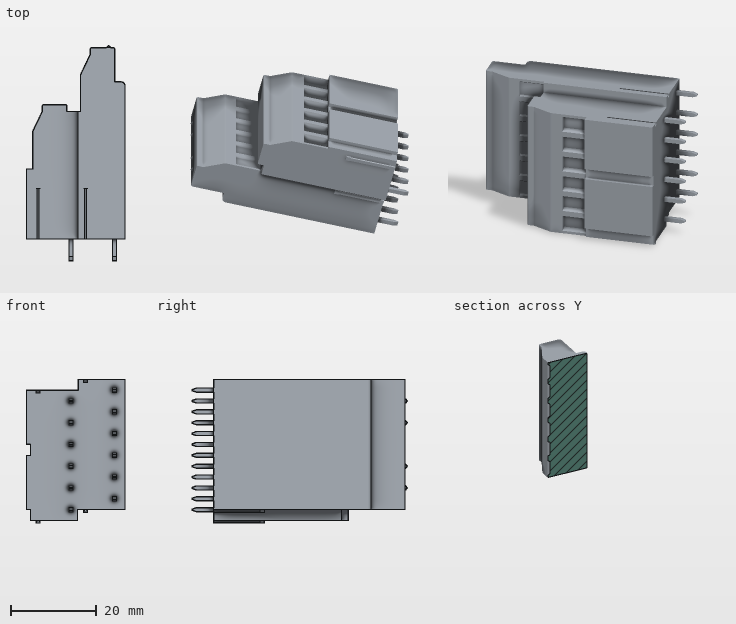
import cadquery as cq

PITCH = 5.08
POLES = 6
ROW_LENGTH = POLES * PITCH
REAR_BOTTOM_Z = PITCH / 2

FRONT_WALL_X = 1.45
PLINTH_HEIGHT = 16.45
SHELF_HEIGHT = 29.9
FRONT_TOP_Y = 31.45
TIER_STEP_X = 12.1
FRONT_BACK_X = 12.0

REAR_WALL_X = 12.65
REAR_TOP_Y = 44.75
REAR_BACK_X = 23.1
SHOULDER_Y = 36.8
SHOULDER_FILLET = 1.0

HEAD_WIDTH = 8.05
HEAD_SLOPE_WIDTH = 2.25
HEAD_SLOPE_HEIGHT = 4.7
HEAD_LIP_HEIGHT = 1.6
HEAD_CORNER_FILLET = 0.4
HEAD_SLOPE_FILLET = 0.75

NOTCH_DEPTH = 0.95
NOTCH_HEIGHT = PITCH / 2
NOTCH_BOTTOMS_Z = (0, 3 * PITCH)

ENTRY_HEIGHT = 3.8
FRONT_ENTRY_LENGTH = 5.8
FRONT_ENTRY_DEPTH = 1.3
FRONT_ENTRY_TAPER = 0.5
REAR_ENTRY_LENGTH = 5.95
REAR_ENTRY_DEPTH = 0.45
REAR_ENTRY_TAPER = 0.3

FRONT_PIN_X = 10.46
PIN_ROW_SPACING = 2 * PITCH
PIN_SIZE = 1.0
PIN_LENGTH = 5.05
PIN_TAPER_LENGTH = 1.0
PIN_TIP_THICKNESS = 0.3

FRONT_RIB_X = 2.75
REAR_RIB_X = 13.85
RIB_LENGTH = 11.85
RIB_STOP_LENGTH = 1.05
RIB_HEIGHT = 0.6
RIB_NECK_WIDTH = 0.3
RIB_WIDTH = 0.95
RIB_TIP_WIDTH = 0.75
RIB_WIDEST_DEPTH = 0.35
GROOVE_MOUTH_WIDTH = 0.45
GROOVE_WIDTH = 1.0
GROOVE_DEPTH = 0.7
GROOVE_LIP_DEPTH = 0.3

STUD_X = 19.25
STUD_RADIUS = 0.6
STUD_HEIGHT = 0.5
STUD_POLE_BOUNDARIES = (1, 2, 4, 5)


def tier(wall_x, top_y, lower_outline, bottom_z):
    """Extrude the head outline closed by the given lower points, listed from head back to head front."""
    lip_x = wall_x + HEAD_SLOPE_WIDTH
    back_x = wall_x + HEAD_WIDTH
    slope_top_y = top_y - HEAD_LIP_HEIGHT
    slope_bottom_y = slope_top_y - HEAD_SLOPE_HEIGHT
    head = [(wall_x, slope_bottom_y), (lip_x, slope_top_y), (lip_x, top_y), (back_x, top_y)]
    body = cq.Workplane("XY").workplane(offset=bottom_z).polyline(head + lower_outline).close()
    body = body.extrude(ROW_LENGTH)
    body = round_edge(body, wall_x, slope_bottom_y, HEAD_SLOPE_FILLET)
    body = round_edge(body, lip_x, top_y, HEAD_CORNER_FILLET)
    return round_edge(body, back_x, top_y, HEAD_CORNER_FILLET)


def round_edge(body, x, y, radius):
    """Fillet the edge along Z that passes through (x, y)."""
    middle_z = body.val().BoundingBox().center.z
    return body.edges(cq.selectors.NearestToPointSelector((x, y, middle_z))).fillet(radius)


def front_tier():
    lower_outline = [
        (FRONT_WALL_X + HEAD_WIDTH, SHELF_HEIGHT),
        (REAR_WALL_X, SHELF_HEIGHT),
        (REAR_WALL_X, 0),
        (0, 0),
        (0, PLINTH_HEIGHT),
        (FRONT_WALL_X, PLINTH_HEIGHT),
    ]
    body = tier(FRONT_WALL_X, FRONT_TOP_Y, lower_outline, 0)
    body = body.cut(box(FRONT_BACK_X, REAR_WALL_X, 0, SHELF_HEIGHT, 0, REAR_BOTTOM_Z))
    for bottom_z in NOTCH_BOTTOMS_Z:
        body = body.cut(box(0, NOTCH_DEPTH, 0, PLINTH_HEIGHT, bottom_z, bottom_z + NOTCH_HEIGHT))
    return body


def rear_tier():
    lower_outline = [
        (REAR_WALL_X + HEAD_WIDTH, SHOULDER_Y),
        (REAR_BACK_X, SHOULDER_Y),
        (REAR_BACK_X, 0),
        (TIER_STEP_X, 0),
        (TIER_STEP_X, SHELF_HEIGHT),
        (REAR_WALL_X, SHELF_HEIGHT),
    ]
    body = tier(REAR_WALL_X, REAR_TOP_Y, lower_outline, REAR_BOTTOM_Z)
    return round_edge(body, REAR_BACK_X, SHOULDER_Y, SHOULDER_FILLET)


def box(x0, x1, y0, y1, z0, z1):
    return cq.Workplane("XY").box(x1 - x0, y1 - y0, z1 - z0, centered=False).translate((x0, y0, z0))


def prism_along_y(points, start_y, length):
    """Extrude an outline of (x, z) points toward +Y."""
    return cq.Workplane("XZ", origin=(0, start_y, 0)).polyline(points).close().extrude(-length)


def pole_centres(bottom_z):
    return [bottom_z + (pole + 0.5) * PITCH for pole in range(POLES)]


def wire_entries(wall_x, start_y, length, depth, taper, bottom_z):
    """Pockets whose floor and ceiling close in toward the back."""
    mouth = ENTRY_HEIGHT / 2
    back = mouth - taper
    back_x = wall_x + depth
    entries = cq.Workplane("XY")
    for z in pole_centres(bottom_z):
        outline = [(wall_x, z - mouth), (back_x, z - back), (back_x, z + back), (wall_x, z + mouth)]
        entries = entries.add(prism_along_y(outline, start_y, length))
    return entries


def pins(x, bottom_z):
    """Square pins with wedge-shaped tips, pointing toward -Y."""
    half = PIN_SIZE / 2
    tip = PIN_TIP_THICKNESS / 2
    taper_y = PIN_TAPER_LENGTH - PIN_LENGTH
    outline = [(0, -half), (taper_y, -half), (-PIN_LENGTH, -tip), (-PIN_LENGTH, tip), (taper_y, half), (0, half)]
    pin = cq.Workplane("YZ", origin=(x - half, 0, 0)).polyline(outline).close().extrude(PIN_SIZE)
    row = cq.Workplane("XY")
    for z in pole_centres(bottom_z):
        row = row.add(pin.translate((0, 0, z)))
    return row


def mirrored_outline(x, half_profile):
    """Close a list of (width, z) stations symmetrically about x."""
    left = [(x - width / 2, z) for width, z in half_profile]
    right = [(x + width / 2, z) for width, z in reversed(half_profile)]
    return left + right


def rib(x, bottom_z):
    stations = [
        (RIB_NECK_WIDTH, bottom_z),
        (RIB_WIDTH, bottom_z - RIB_WIDEST_DEPTH),
        (RIB_TIP_WIDTH, bottom_z - RIB_HEIGHT),
    ]
    stop_y = RIB_LENGTH - RIB_STOP_LENGTH
    half = RIB_WIDTH / 2
    stop = box(x - half, x + half, stop_y, RIB_LENGTH, bottom_z - RIB_HEIGHT, bottom_z)
    return prism_along_y(mirrored_outline(x, stations), 0, stop_y).union(stop)


def groove(x, top_z):
    stations = [
        (GROOVE_MOUTH_WIDTH, top_z),
        (GROOVE_WIDTH, top_z - GROOVE_LIP_DEPTH),
        (GROOVE_WIDTH, top_z - GROOVE_DEPTH),
    ]
    return prism_along_y(mirrored_outline(x, stations), 0, RIB_LENGTH)


def studs():
    cone = cq.Solid.makeCone(STUD_RADIUS, 0, STUD_HEIGHT, cq.Vector(STUD_X, REAR_TOP_Y, 0), cq.Vector(0, 1, 0))
    row = cq.Workplane("XY")
    for boundary in STUD_POLE_BOUNDARIES:
        row = row.add(cone.translate(cq.Vector(0, 0, REAR_BOTTOM_Z + boundary * PITCH)))
    return row


def add_all(body, features):
    for feature in features.vals():
        body = body.union(cq.Workplane(feature))
    return body


def cut_all(body, features):
    for feature in features.vals():
        body = body.cut(cq.Workplane(feature))
    return body


result = front_tier().union(rear_tier())
front_entries = wire_entries(
    FRONT_WALL_X, PLINTH_HEIGHT, FRONT_ENTRY_LENGTH, FRONT_ENTRY_DEPTH, FRONT_ENTRY_TAPER, 0
)
rear_entries = wire_entries(
    REAR_WALL_X, SHELF_HEIGHT, REAR_ENTRY_LENGTH, REAR_ENTRY_DEPTH, REAR_ENTRY_TAPER, REAR_BOTTOM_Z
)
result = cut_all(cut_all(result, front_entries), rear_entries)
for rib_x, tier_bottom_z in ((FRONT_RIB_X, 0), (REAR_RIB_X, REAR_BOTTOM_Z)):
    result = result.union(rib(rib_x, tier_bottom_z))
    result = result.cut(groove(rib_x, tier_bottom_z + ROW_LENGTH))
result = add_all(result, pins(FRONT_PIN_X, 0))
result = add_all(result, pins(FRONT_PIN_X + PIN_ROW_SPACING, REAR_BOTTOM_Z))
result = add_all(result, studs())